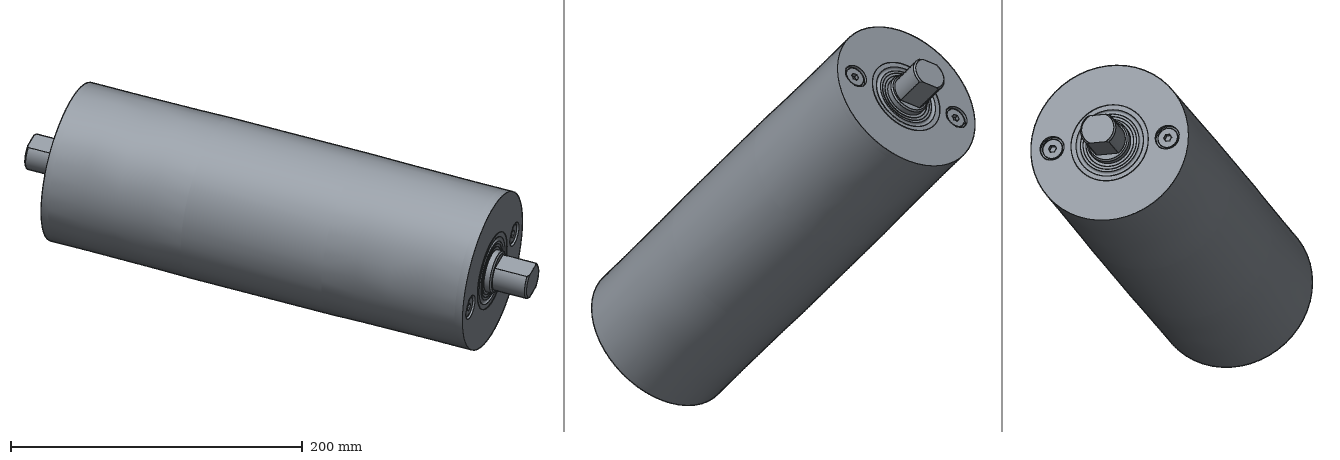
import cadquery as cq

overall_length = 370.0

crown_dia = 113.5
cap_dia = 112.5
body_length = 310.8
crown_length = 103.5
cap_thickness = 5.5

shaft_dia = 25.0
shaft_across_flats = 20.0
shaft_tip_chamfer = 1.0
sleeve_dia = 30.0
sleeve_protrusion = 4.8
sleeve_chamfer = 1.0

seat_dia = 55.0
seat_depth = 0.5
round_groove_outer_dia = 48.0
round_groove_inner_dia = 41.8
seal_groove_outer_dia = 38.0
seal_groove_inner_dia = 34.0
seal_groove_depth = 0.5

screw_offset = 41.0
screw_recess_dia = 17.0
screw_head_dia = 14.0
screw_recess_depth = 2.2
screw_head_sink = 1.0
screw_socket_across_corners = 5.5
screw_socket_depth = 3.0

body_end = body_length / 2
seat_face = body_end - seat_depth
sleeve_end = body_end + sleeve_protrusion
shaft_end = overall_length / 2


def tube(outer_dia, inner_dia, x_start, length):
    """Ring about the X axis that starts at x_start and runs toward +X."""
    return (
        cq.Workplane("YZ", origin=(x_start, 0, 0))
        .circle(outer_dia / 2)
        .circle(inner_dia / 2)
        .extrude(length)
    )


def rod(dia, x_start, length, y=0.0):
    """Round bar parallel to X that starts at x_start and runs toward +X."""
    return cq.Workplane("YZ", origin=(x_start, y, 0)).circle(dia / 2).extrude(length)


def roller_body():
    """Cylindrical middle, shallow tapers and cylindrical end caps, turned about X."""
    crown_end = crown_length / 2
    cap_start = body_end - cap_thickness
    return (
        cq.Workplane("XY")
        .moveTo(-body_end, 0)
        .lineTo(-body_end, cap_dia / 2)
        .lineTo(-cap_start, cap_dia / 2)
        .lineTo(-crown_end, crown_dia / 2)
        .lineTo(crown_end, crown_dia / 2)
        .lineTo(cap_start, cap_dia / 2)
        .lineTo(body_end, cap_dia / 2)
        .lineTo(body_end, 0)
        .close()
        .revolve(360, (0, 0, 0), (1, 0, 0))
    )


def shaft():
    """Through shaft with chamfered tips and two flats facing +Z and -Z."""
    bar = rod(shaft_dia, -shaft_end, overall_length).faces("<X or >X").chamfer(shaft_tip_chamfer)
    flats = cq.Workplane("XY").box(overall_length, shaft_dia, shaft_across_flats)
    return bar.intersect(flats)


def sleeve():
    """Collar around the shaft that runs through the body, chamfered at both ends."""
    return rod(sleeve_dia, -sleeve_end, 2 * sleeve_end).faces("<X or >X").chamfer(sleeve_chamfer)


def round_groove():
    """Ring groove with a semicircular section, in the seat face at the +X end."""
    groove_radius = (round_groove_outer_dia - round_groove_inner_dia) / 4
    ring_radius = (round_groove_outer_dia + round_groove_inner_dia) / 4
    return (
        cq.Workplane("XY")
        .center(seat_face, ring_radius)
        .circle(groove_radius)
        .revolve(360, (-seat_face, -ring_radius, 0), (3.7 - seat_face, -ring_radius, 0))
    )


def screw_cut(y):
    """Recess that leaves a sunken screw head standing on its floor, and the head's hexagonal socket."""
    head_face = body_end - screw_head_sink
    recess = rod(screw_recess_dia, body_end - screw_recess_depth, screw_recess_depth, y)
    head = rod(screw_head_dia, body_end - screw_recess_depth, screw_recess_depth - screw_head_sink, y)
    socket = (
        cq.Workplane("YZ", origin=(head_face - screw_socket_depth, y, 0))
        .polygon(6, screw_socket_across_corners)
        .extrude(screw_socket_depth)
    )
    return recess.cut(head).union(socket)


def end_cuts():
    """Everything cut from the end face at the +X end."""
    seal_floor = seat_face - seal_groove_depth
    cuts = rod(seat_dia, seat_face, seat_depth)
    cuts = cuts.union(tube(seal_groove_outer_dia, seal_groove_inner_dia, seal_floor, body_end - seal_floor))
    cuts = cuts.union(round_groove())
    for y in (-screw_offset, screw_offset):
        cuts = cuts.union(screw_cut(y))
    return cuts


plus_x_cuts = end_cuts()
minus_x_cuts = plus_x_cuts.mirror("YZ")
result = roller_body().cut(plus_x_cuts).cut(minus_x_cuts).union(sleeve()).union(shaft())